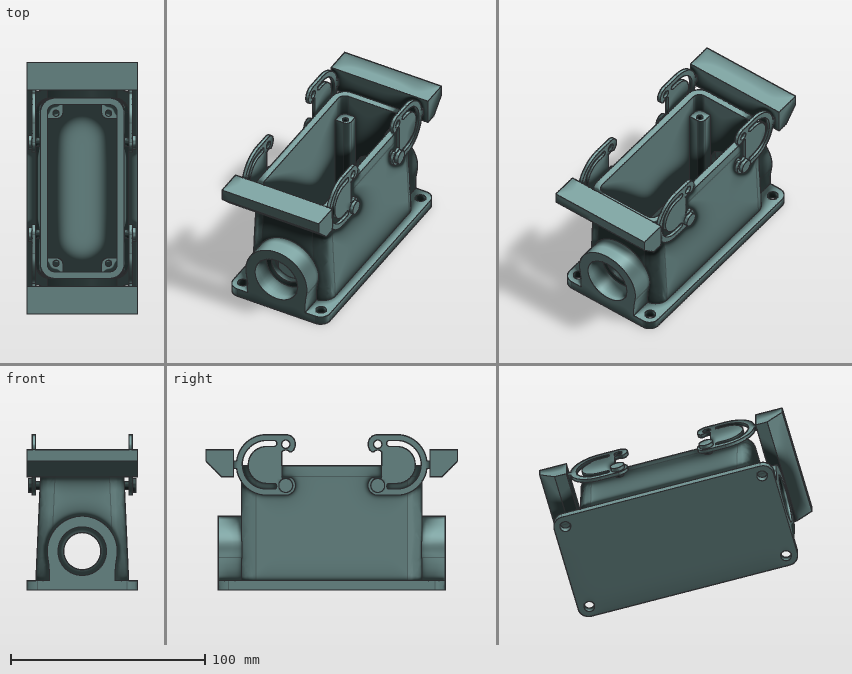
import cadquery as cq
import math

overall_height = 80.0

flange_width = 57.0
flange_length = 117.0
flange_thickness = 4.8
flange_corner_radius = 5.5
mount_hole_diameter = 5.5
mount_hole_x = 23.0
mount_hole_y = 52.5

body_length = 93.0
body_width_bottom = 47.8
body_width_top = 43.0
body_corner_radius = 7.5
rim_bottom_z = 58.3
body_top_z = 64.0
wall_thickness = 3.5
cavity_width = body_width_top - 2 * wall_thickness
cavity_length = body_length - 2 * wall_thickness
cavity_corner_radius = body_corner_radius - wall_thickness
cavity_floor_z = flange_thickness

post_size_x = 8.0
post_size_y = 7.1
post_edge_radius = 3.0
post_top_z = 52.0
screw_hole_diameter = 3.2
screw_hole_depth = 10.0
screw_hole_x = 13.5
screw_hole_y = 38.6

entry_z = 20.0
boss_radius = 18.0
boss_flank_start_drop = 3.3
boss_flank_radius = 50.0
entry_bore_diameter = 19.0
entry_recess_diameter = 25.0
entry_recess_depth = 12.0

lever_inner_x = 24.0
lever_thickness = 1.75
lever_outer_x = lever_inner_x + lever_thickness
lever_outer_radius = 15.6
lever_z = overall_height - lever_outer_radius
lever_arc_y = 33.5
lever_inner_edge_y = 25.6
slot_outer_radius = 12.5
slot_inner_radius = 9.5
slot_end_y = 29.75

hook_radius = 5.0
pivot_y = 23.65
pivot_offset_z = lever_outer_radius - hook_radius
pivot_hole_diameter = 4.2
notch_radius = 2.5
notch_drop = 5.5
hook_tip_radius = 1.15

pin_head_diameter = 7.2
pin_head_outer_x = 27.7
pin_root_depth = 1.0
pin_root_x = body_width_top / 2 - pin_root_depth

handle_inner_y = 50.5
handle_outer_y = 64.75
handle_bottom_z = 58.25
handle_height = 14.0
handle_chamfer = 8.0
stub_height = 4.0

SIDES = (1, -1)
QUADRANTS = [(sx, sy) for sx in SIDES for sy in SIDES]


def corner_points(x, y):
    """The points at distance x and y from the centre, one in each quadrant."""
    return [(sx * x, sy * y) for sx, sy in QUADRANTS]


def rounded_block(width, length, radius, bottom_z, top_z):
    """Upright block, centred in X and Y, with rounded vertical edges."""
    return (
        cq.Workplane("XY", origin=(0, 0, bottom_z))
        .rect(width, length)
        .extrude(top_z - bottom_z)
        .edges("|Z")
        .fillet(radius)
    )


def mirrored_in_y(shape):
    """The shape together with its mirror image across the XZ plane."""
    return shape.union(shape.mirror("XZ"))


def make_flange():
    flange = rounded_block(flange_width, flange_length, flange_corner_radius, 0, flange_thickness)
    holes = (
        cq.Workplane("XY")
        .pushPoints(corner_points(mount_hole_x, mount_hole_y))
        .circle(mount_hole_diameter / 2)
        .extrude(flange_thickness)
    )
    return flange.cut(holes)


def body_section(width):
    return cq.Sketch().rect(width, body_length).vertices().fillet(body_corner_radius)


def make_body():
    taper_rise = cq.Location(cq.Vector(0, 0, rim_bottom_z - flange_thickness))
    taper = (
        cq.Workplane("XY", origin=(0, 0, flange_thickness))
        .placeSketch(
            body_section(body_width_bottom),
            body_section(body_width_top).moved(taper_rise),
        )
        .loft(ruled=True)
    )
    rim = rounded_block(body_width_top, body_length, body_corner_radius, rim_bottom_z, body_top_z)
    return taper.union(rim)


def make_entry_boss():
    """Boss at the +Y end: round on top, with gently waisted flanks down to the flange."""
    flank_x = math.sqrt(boss_radius**2 - boss_flank_start_drop**2)
    flank_z = entry_z - boss_flank_start_drop
    reach = (boss_radius + boss_flank_radius) / boss_radius
    flank_center_x = flank_x * reach
    flank_center_z = entry_z - boss_flank_start_drop * reach

    def flank_x_at(z):
        return flank_center_x - math.sqrt(boss_flank_radius**2 - (z - flank_center_z) ** 2)

    middle_z = (flank_z + flange_thickness) / 2
    foot_x = flank_x_at(flange_thickness)
    start_y = cavity_length / 2
    return (
        cq.Workplane("XZ", origin=(0, start_y, 0))
        .moveTo(foot_x, 0)
        .lineTo(foot_x, flange_thickness)
        .threePointArc((flank_x_at(middle_z), middle_z), (flank_x, flank_z))
        .threePointArc((0, entry_z + boss_radius), (-flank_x, flank_z))
        .threePointArc((-flank_x_at(middle_z), middle_z), (-foot_x, flange_thickness))
        .lineTo(-foot_x, 0)
        .close()
        .extrude(start_y - flange_length / 2)
    )


def make_entry_cut():
    """Through bore along Y with a wider recess at each end."""
    bore = (
        cq.Workplane("XZ", origin=(0, 0, entry_z))
        .circle(entry_bore_diameter / 2)
        .extrude(flange_length / 2, both=True)
    )
    recess = (
        cq.Workplane("XZ", origin=(0, flange_length / 2, entry_z))
        .circle(entry_recess_diameter / 2)
        .extrude(entry_recess_depth)
    )
    return bore.union(mirrored_in_y(recess))


def make_cavity():
    """Open-topped cavity, leaving a drilled screw post standing in each corner."""
    cavity = rounded_block(cavity_width, cavity_length, cavity_corner_radius, cavity_floor_z, body_top_z)
    for sx, sy in QUADRANTS:
        post = rounded_block(2 * post_size_x, 2 * post_size_y, post_edge_radius, cavity_floor_z, post_top_z)
        cavity = cavity.cut(post.translate((sx * cavity_width / 2, sy * cavity_length / 2, 0)))
    screw_holes = (
        cq.Workplane("XY", origin=(0, 0, post_top_z - screw_hole_depth))
        .pushPoints(corner_points(screw_hole_x, screw_hole_y))
        .circle(screw_hole_diameter / 2)
        .extrude(screw_hole_depth)
    )
    return cavity.union(screw_holes)


def lever_plane():
    """Sketch plane whose axes are Y and Z, with its origin at the lever's height."""
    return cq.Workplane("YZ", origin=(lever_inner_x, 0, lever_z))


def lever_disc(y, z, radius):
    return lever_plane().center(y, z).circle(radius).extrude(lever_thickness)


def lever_outline():
    """Solid lever plate: round outer end, and a hook reaching inward at top and bottom."""
    tip_orbit = hook_radius - hook_tip_radius
    notch_orbit = notch_radius + hook_tip_radius
    tip_drop = (tip_orbit**2 - notch_orbit**2 + notch_drop**2) / (2 * notch_drop)
    tip_inset = math.sqrt(tip_orbit**2 - tip_drop**2)
    tip_y = pivot_y - tip_inset
    tip_z = pivot_offset_z - tip_drop

    notch_z = pivot_offset_z - notch_drop
    hook_end = (
        pivot_y - tip_inset * hook_radius / tip_orbit,
        pivot_offset_z - tip_drop * hook_radius / tip_orbit,
    )
    tip_bottom = (tip_y, tip_z - hook_tip_radius)
    notch_start = (
        pivot_y - tip_inset * notch_radius / notch_orbit,
        notch_z + (tip_z - notch_z) * notch_radius / notch_orbit,
    )
    notch_top = (pivot_y, notch_z + notch_radius)
    edge_offset = lever_inner_edge_y - pivot_y
    notch_end = (lever_inner_edge_y, notch_z + math.sqrt(notch_radius**2 - edge_offset**2))
    hook_side = (pivot_y - hook_radius, pivot_offset_z)

    def lower(point):
        return (point[0], -point[1])

    return (
        lever_plane()
        .moveTo(pivot_y, lever_outer_radius)
        .lineTo(lever_arc_y, lever_outer_radius)
        .threePointArc((lever_arc_y + lever_outer_radius, 0), (lever_arc_y, -lever_outer_radius))
        .lineTo(pivot_y, -lever_outer_radius)
        .threePointArc(lower(hook_side), lower(hook_end))
        .threePointArc(lower(tip_bottom), lower(notch_start))
        .threePointArc(lower(notch_top), lower(notch_end))
        .lineTo(*notch_end)
        .threePointArc(notch_top, notch_start)
        .threePointArc(tip_bottom, hook_end)
        .threePointArc(hook_side, (pivot_y, lever_outer_radius))
        .close()
        .extrude(lever_thickness)
    )


def lever_slot():
    """C-shaped slot that follows the round end and has rounded ends."""
    end_radius = (slot_outer_radius - slot_inner_radius) / 2
    middle_radius = slot_inner_radius + end_radius
    end_tip_y = slot_end_y - end_radius
    return (
        lever_plane()
        .moveTo(slot_end_y, slot_outer_radius)
        .lineTo(lever_arc_y, slot_outer_radius)
        .threePointArc((lever_arc_y + slot_outer_radius, 0), (lever_arc_y, -slot_outer_radius))
        .lineTo(slot_end_y, -slot_outer_radius)
        .threePointArc((end_tip_y, -middle_radius), (slot_end_y, -slot_inner_radius))
        .lineTo(lever_arc_y, -slot_inner_radius)
        .threePointArc((lever_arc_y + slot_inner_radius, 0), (lever_arc_y, slot_inner_radius))
        .lineTo(slot_end_y, slot_inner_radius)
        .threePointArc((end_tip_y, middle_radius), (slot_end_y, slot_outer_radius))
        .close()
        .extrude(lever_thickness)
    )


def make_lever():
    """Lever at the +X, +Y corner with its pivot pin and the stub that meets the handle."""
    pivot_hole = lever_disc(pivot_y, pivot_offset_z, pivot_hole_diameter / 2)
    plate = lever_outline().cut(lever_slot()).cut(pivot_hole)

    stub_start_y = lever_arc_y + (slot_outer_radius + lever_outer_radius) / 2
    stub = (
        lever_plane()
        .center((stub_start_y + handle_inner_y) / 2, 0)
        .rect(handle_inner_y - stub_start_y, stub_height)
        .extrude(lever_thickness)
    )

    pin_z = lever_z - pivot_offset_z
    shaft = (
        cq.Workplane("YZ", origin=(pin_root_x, pivot_y, pin_z))
        .circle(pivot_hole_diameter / 2)
        .extrude(lever_outer_x - pin_root_x)
    )
    head = (
        cq.Workplane("YZ", origin=(lever_outer_x, pivot_y, pin_z))
        .circle(pin_head_diameter / 2)
        .extrude(pin_head_outer_x - lever_outer_x)
    )
    return plate.union(stub).union(shaft).union(head)


def make_handle():
    """Bar across the +Y end with its lower outer edge cut away."""
    top_z = handle_bottom_z + handle_height
    return (
        cq.Workplane("YZ")
        .moveTo(handle_inner_y, handle_bottom_z)
        .lineTo(handle_outer_y - handle_chamfer, handle_bottom_z)
        .lineTo(handle_outer_y, handle_bottom_z + handle_chamfer)
        .lineTo(handle_outer_y, top_z)
        .lineTo(handle_inner_y, top_z)
        .close()
        .extrude(flange_width / 2, both=True)
    )


def make_latch():
    """Handle at the +Y end with its pair of levers."""
    lever = make_lever()
    return make_handle().union(lever).union(lever.mirror("YZ"))


housing = make_flange().union(make_body()).union(mirrored_in_y(make_entry_boss()))
housing = housing.cut(make_cavity()).cut(make_entry_cut())
result = housing.union(mirrored_in_y(make_latch()))